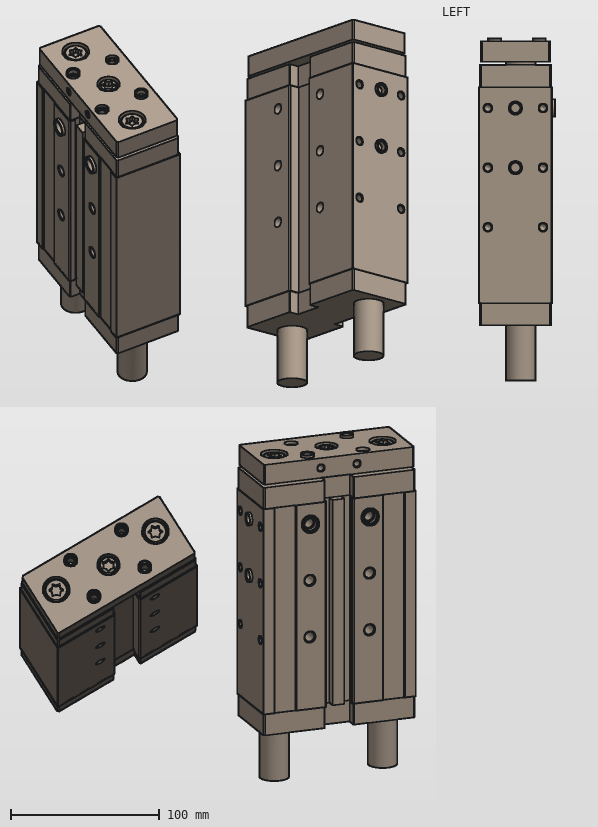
import cadquery as cq
import math


CAP_HEIGHT = 15.0
BARREL_HEIGHT = 145.0
YOKE_GAP = 2.0
PLATE_HEIGHT = 14.0
GUIDE_ROD_OVERHANG = 37.0
BARREL_TOP = CAP_HEIGHT + BARREL_HEIGHT
CAP_TOP = BARREL_TOP + CAP_HEIGHT
PLATE_BOTTOM = CAP_TOP + YOKE_GAP
PLATE_TOP = PLATE_BOTTOM + PLATE_HEIGHT

BARREL_WIDTH = 110.0
BARREL_DEPTH = 49.2
CAP_SIDE_INSET = 0.5
CAP_FACE_INSET = 0.7
CAP_WIDTH = BARREL_WIDTH - 2 * CAP_SIDE_INSET
CAP_DEPTH = BARREL_DEPTH - 2 * CAP_FACE_INSET
CAP_CHAMFER = 1.0
BARREL_CHAMFER = 0.4
FRONT = -BARREL_DEPTH / 2
LEFT = -BARREL_WIDTH / 2

CAP_GROOVE_WIDTH = 20.5
CAP_GROOVE_DEPTH = 7.5
CAP_GROOVE_CHAMFER = 0.5
SLOT_WIDTH = 18.8
SLOT_DEPTH = 8.25
SLOT_CHAMFER = 1.0
SLOT_LIP = 4.2
SLOT_UNDERCUT = 1.0
SLOT_RIB_WIDTH = 8.6
SLOT_RIB_HEIGHT = 6.0
STRIP_WIDTH = 15.0
STRIP_DEPTH = 1.0
STRIP_CHAMFER = 0.5
STRIP_CENTRE = 39.0

PLATE_INSET = 0.5
PLATE_WIDTH = CAP_WIDTH - 2 * PLATE_INSET
PLATE_DEPTH = CAP_DEPTH - 2 * PLATE_INSET
PLATE_CHAMFER = 1.0
GUIDE_ROD_DIAMETER = 20.0
GUIDE_ROD_X = 39.0
GUIDE_ROD_Y = -3.5
PISTON_ROD_DIAMETER = 12.0
SCREW_SINK = 1.0
SCREW_POCKET_DEPTH = 8.0
SCREW_CHAMFER = 1.0
GUIDE_POCKET_DIAMETER = 18.0
GUIDE_HEAD_DIAMETER = 16.0
PISTON_POCKET_DIAMETER = 15.0
PISTON_HEAD_DIAMETER = 13.0
STAR_POINTS = 6
STAR_DEPTH = 4.0
STAR_INNER_RATIO = 0.68
GUIDE_STAR_RADIUS = 4.8
GUIDE_STAR_ANGLE = 90
PISTON_STAR_RADIUS = 4.5
PISTON_STAR_ANGLE = 0

HOLE_PITCH = 40.0
FIRST_ROW_DROP = 14.0
FIRST_ROW_Z = BARREL_TOP - FIRST_ROW_DROP
ROWS_Z = [FIRST_ROW_Z - row * HOLE_PITCH for row in range(3)]
FRONT_HOLE_X = 21.5
FRONT_HOLE_DIAMETER = 6.8
FRONT_HOLE_MOUTH = 8.2
SIDE_HOLE_Y = 18.5
M6_CORE = 4.92
M6_MOUTH = 6.0
M5_CORE = 4.37
M5_MOUTH = 5.5
THREAD_DEPTH = 10.0
DRILL_TIP_ANGLE = 118.0
PLATE_HOLE_X = 20.0
PLATE_HOLE_Y = 15.0
PLATE_HOLE_Y_SHIFT = -1.0
PLATE_FRONT_HOLE_X = 13.0
PLATE_HOLE_MOUTH = 6.65

LARGE_SLEEVE = 12.0
LARGE_SLEEVE_MOUTH = 9.8
LARGE_SLEEVE_BORE = 8.8
SMALL_SLEEVE = 9.0
SMALL_SLEEVE_MOUTH = 7.6
SMALL_SLEEVE_BORE = 6.6
SLEEVE_SEAT = 2.3
LARGE_SLEEVE_STAND = 2.1
SMALL_SLEEVE_STAND = 1.8

INTO_FRONT = cq.Vector(0, 1, 0)
INTO_SIDE = cq.Vector(1, 0, 0)
DOWN = cq.Vector(0, 0, -1)


def block(width, depth, bottom, height, chamfer):
    """Upright block centred on the piston axis with chamfered vertical edges."""
    solid = cq.Workplane("XY", origin=(0, 0, bottom)).rect(width, depth).extrude(height)
    return solid.edges("|Z").chamfer(chamfer)


def box(width, y_range, bottom, height):
    """Box centred on X = 0, spanning the two Y values of y_range."""
    low, high = y_range
    solid = cq.Workplane("XY").box(width, high - low, height, centered=(True, False, False))
    return solid.translate((0, low, bottom))


def rod(diameter, start, direction, length):
    return cq.Solid.makeCylinder(diameter / 2, length, cq.Vector(*start), direction)


def countersink(mouth, core, start, direction):
    """45 degree cone from the mouth diameter down to the core diameter."""
    return cq.Solid.makeCone(mouth / 2, core / 2, (mouth - core) / 2, cq.Vector(*start), direction)


def drill(core, mouth, start, direction, depth):
    """Blind hole with countersunk mouth and conical drill tip."""
    tip_height = core / 2 / math.tan(math.radians(DRILL_TIP_ANGLE / 2))
    bottom = cq.Vector(*start) + direction * depth
    hole = cq.Workplane(rod(core, start, direction, depth))
    hole = hole.union(cq.Workplane(cq.Solid.makeCone(core / 2, 0, tip_height, bottom, direction)))
    return hole.union(cq.Workplane(countersink(mouth, core, start, direction)))


def offset(start, direction, distance):
    return (cq.Vector(*start) + direction * distance).toTuple()


front_holes = [(side * FRONT_HOLE_X, FRONT, z) for z in ROWS_Z for side in (-1, 1)]
front_sleeve_seats = front_holes[:2]
side_small_holes = [(LEFT, side * SIDE_HOLE_Y, z) for z in ROWS_Z for side in (-1, 1)]
side_sleeve_seats = [(LEFT, 0, z) for z in ROWS_Z[:2]]
plate_holes = [(sx * PLATE_HOLE_X, PLATE_HOLE_Y_SHIFT + sy * PLATE_HOLE_Y, PLATE_TOP)
               for sx in (-1, 1) for sy in (-1, 1)]
plate_sleeve_seats = [plate_holes[0], plate_holes[3]]
guide_rod_places = [(side * GUIDE_ROD_X, GUIDE_ROD_Y) for side in (-1, 1)]


def cut_guide_bores(solid, bottom, height):
    for x, y in guide_rod_places:
        solid = solid.cut(cq.Workplane(rod(GUIDE_ROD_DIAMETER, (x, y, bottom), -DOWN, height)))
    return solid


def chamfered_groove(width, depth, chamfer, face, sign, bottom, height, x=0.0):
    """Straight groove in the front (sign -1) or rear (+1) face, with a 45 degree chamfered mouth."""
    half = width / 2
    mouth = half + chamfer
    neck = face - chamfer
    floor = face - depth
    points = [(-mouth, face), (-half, neck), (-half, floor), (half, floor), (half, neck), (mouth, face)]
    points = [(x + across, sign * outward) for across, outward in points]
    return cq.Workplane("XY", origin=(0, 0, bottom)).polyline(points).close().extrude(height)


def barrel_groove(width, depth, chamfer, sign, x=0.0):
    return chamfered_groove(width, depth, chamfer, BARREL_DEPTH / 2, sign, CAP_HEIGHT, BARREL_HEIGHT, x)


def make_barrel():
    barrel = block(BARREL_WIDTH, BARREL_DEPTH, CAP_HEIGHT, BARREL_HEIGHT, BARREL_CHAMFER)
    for sign in (-1, 1):
        barrel = barrel.cut(barrel_groove(SLOT_WIDTH, SLOT_DEPTH, SLOT_CHAMFER, sign))
    slot_floor = FRONT + SLOT_DEPTH
    undercut_span = (FRONT + SLOT_LIP, slot_floor)
    undercut_width = SLOT_WIDTH + 2 * SLOT_UNDERCUT
    barrel = barrel.cut(box(undercut_width, undercut_span, CAP_HEIGHT, BARREL_HEIGHT))
    rib_span = (slot_floor - SLOT_RIB_HEIGHT, slot_floor)
    barrel = barrel.union(box(SLOT_RIB_WIDTH, rib_span, CAP_HEIGHT, BARREL_HEIGHT))
    for side in (-1, 1):
        barrel = barrel.cut(
            barrel_groove(STRIP_WIDTH, STRIP_DEPTH, STRIP_CHAMFER, -1, side * STRIP_CENTRE))
    barrel = cut_guide_bores(barrel, CAP_HEIGHT, BARREL_HEIGHT)
    barrel = barrel.cut(cq.Workplane(rod(PISTON_ROD_DIAMETER, (0, 0, CAP_HEIGHT), -DOWN, BARREL_HEIGHT)))
    for place in front_holes:
        barrel = barrel.cut(cq.Workplane(rod(FRONT_HOLE_DIAMETER, place, INTO_FRONT, BARREL_DEPTH)))
        mouth = countersink(FRONT_HOLE_MOUTH, FRONT_HOLE_DIAMETER, place, INTO_FRONT)
        barrel = barrel.cut(cq.Workplane(mouth))
    for place in front_sleeve_seats:
        barrel = barrel.cut(cq.Workplane(rod(LARGE_SLEEVE, place, INTO_FRONT, SLEEVE_SEAT)))
    for place in side_small_holes:
        barrel = barrel.cut(drill(M6_CORE, M6_MOUTH, place, INTO_SIDE, THREAD_DEPTH))
    for place in side_sleeve_seats:
        barrel = barrel.cut(cq.Workplane(rod(SMALL_SLEEVE, place, INTO_SIDE, SLEEVE_SEAT)))
    return barrel


def make_cap(bottom):
    cap = block(CAP_WIDTH, CAP_DEPTH, bottom, CAP_HEIGHT, CAP_CHAMFER)
    for sign in (-1, 1):
        cap = cap.cut(chamfered_groove(CAP_GROOVE_WIDTH, CAP_GROOVE_DEPTH, CAP_GROOVE_CHAMFER,
                                       CAP_DEPTH / 2, sign, bottom, CAP_HEIGHT))
    return cut_guide_bores(cap, bottom, CAP_HEIGHT)


def star_socket(radius, tip_angle, x, y):
    """Six-pointed screw-drive recess, cut down from the screw head."""
    corners = 2 * STAR_POINTS
    points = []
    for corner in range(corners):
        reach = radius if corner % 2 == 0 else radius * STAR_INNER_RATIO
        angle = math.radians(tip_angle + 360 / corners * corner)
        points.append((reach * math.cos(angle), reach * math.sin(angle)))
    plane = cq.Workplane("XY", origin=(x, y, PLATE_TOP - SCREW_SINK))
    return plane.polyline(points).close().extrude(-STAR_DEPTH)


def add_screw(plate, x, y, pocket, head, star_radius, tip_angle):
    """Counterbore in the plate with a sunk star-drive screw head standing in it."""
    pocket_floor = PLATE_TOP - SCREW_POCKET_DEPTH
    head_height = SCREW_POCKET_DEPTH - SCREW_SINK
    plate = plate.cut(cq.Workplane(rod(pocket, (x, y, PLATE_TOP), DOWN, SCREW_POCKET_DEPTH)))
    screw = cq.Workplane(rod(head, (x, y, pocket_floor), -DOWN, head_height))
    screw = screw.faces(">Z").chamfer(SCREW_CHAMFER)
    return plate.union(screw.cut(star_socket(star_radius, tip_angle, x, y)))


def make_yoke():
    yoke = block(PLATE_WIDTH, PLATE_DEPTH, PLATE_BOTTOM, PLATE_HEIGHT, PLATE_CHAMFER)
    for place in plate_holes:
        yoke = yoke.cut(cq.Workplane(rod(SMALL_SLEEVE, place, DOWN, SLEEVE_SEAT)))
        yoke = yoke.cut(cq.Workplane(rod(M6_CORE, place, DOWN, PLATE_HEIGHT)))
        seat = offset(place, DOWN, SLEEVE_SEAT)
        yoke = yoke.cut(cq.Workplane(countersink(PLATE_HOLE_MOUTH, M6_CORE, seat, DOWN)))
    for side in (-1, 1):
        place = (side * PLATE_FRONT_HOLE_X, -PLATE_DEPTH / 2, PLATE_BOTTOM + PLATE_HEIGHT / 2)
        yoke = yoke.cut(drill(M5_CORE, M5_MOUTH, place, INTO_FRONT, THREAD_DEPTH))
    for x, y in guide_rod_places:
        yoke = add_screw(yoke, x, y, GUIDE_POCKET_DIAMETER, GUIDE_HEAD_DIAMETER,
                         GUIDE_STAR_RADIUS, GUIDE_STAR_ANGLE)
        length = PLATE_BOTTOM + GUIDE_ROD_OVERHANG
        yoke = yoke.union(cq.Workplane(rod(GUIDE_ROD_DIAMETER, (x, y, PLATE_BOTTOM), DOWN, length)))
    yoke = add_screw(yoke, 0, 0, PISTON_POCKET_DIAMETER, PISTON_HEAD_DIAMETER,
                     PISTON_STAR_RADIUS, PISTON_STAR_ANGLE)
    length = PLATE_BOTTOM - CAP_HEIGHT
    return yoke.union(cq.Workplane(rod(PISTON_ROD_DIAMETER, (0, 0, PLATE_BOTTOM), DOWN, length)))


def make_sleeve(outer, mouth, bore, place, direction, stand):
    """Ring seated in a face and standing proud of it, with a countersunk outer mouth."""
    start = offset(place, direction, -stand)
    length = stand + SLEEVE_SEAT
    sleeve = cq.Workplane(rod(outer, start, direction, length))
    sleeve = sleeve.cut(cq.Workplane(rod(bore, start, direction, length)))
    return sleeve.cut(cq.Workplane(countersink(mouth, bore, start, direction)))


def make_large_sleeve(place, direction):
    return make_sleeve(LARGE_SLEEVE, LARGE_SLEEVE_MOUTH, LARGE_SLEEVE_BORE,
                       place, direction, LARGE_SLEEVE_STAND)


def make_small_sleeve(place, direction):
    return make_sleeve(SMALL_SLEEVE, SMALL_SLEEVE_MOUTH, SMALL_SLEEVE_BORE,
                       place, direction, SMALL_SLEEVE_STAND)


barrel = make_barrel()
lower_cap = make_cap(0)
upper_cap = make_cap(BARREL_TOP).cut(
    cq.Workplane(rod(PISTON_ROD_DIAMETER, (0, 0, BARREL_TOP), -DOWN, CAP_HEIGHT)))
yoke = make_yoke()

sleeves = []
for place in front_sleeve_seats:
    sleeves.append(make_large_sleeve(place, INTO_FRONT))
for place in side_sleeve_seats:
    sleeves.append(make_small_sleeve(place, INTO_SIDE))
for place in plate_sleeve_seats:
    sleeves.append(make_small_sleeve(place, DOWN))

bodies = [barrel, lower_cap, upper_cap, yoke] + sleeves
result = cq.Compound.makeCompound([body.val() for body in bodies])